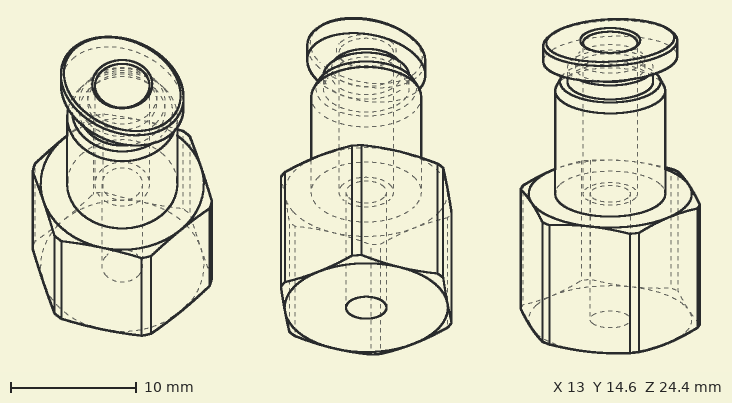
import cadquery as cq

NUT_ACROSS_FLATS = 13.0
NUT_CORNER_DIAMETER = 14.6
NUT_HEIGHT = 10.98
NUT_CHAMFER_DROP = 0.27

BODY_RADIUS = 4.4
BODY_TOP = 20.8
BODY_CHAMFER_WIDTH = 0.4
BODY_CHAMFER_HEIGHT = 0.78

COLLAR_RADIUS = 3.42
COLLAR_TOP = 22.0
NECK_RADIUS = 2.75
BUTTON_HALF_LENGTH = 5.42
BUTTON_HALF_WIDTH = 4.3
BUTTON_THICKNESS = 1.6
BUTTON_CHAMFER = 0.25
TOTAL_HEIGHT = 24.4
BUTTON_BOTTOM = TOTAL_HEIGHT - BUTTON_THICKNESS

SOCKET_RADIUS = 2.17
SOCKET_FLOOR = NUT_HEIGHT
SOCKET_CHAMFER = 0.22
PASSAGE_RADIUS = 1.6


def cylinder(radius, bottom, top):
    return cq.Workplane("XY").workplane(offset=bottom).circle(radius).extrude(top - bottom)


def make_nut():
    """Hexagon with flats facing +X and -X, its corners turned down and chamfered at both ends."""
    hexagon = (
        cq.Workplane("XY")
        .polygon(6, NUT_ACROSS_FLATS, circumscribed=True)
        .extrude(NUT_HEIGHT)
    )
    flat_radius = NUT_ACROSS_FLATS / 2
    corner_radius = NUT_CORNER_DIAMETER / 2
    turned_envelope = (
        cq.Workplane("XZ")
        .moveTo(0, 0)
        .lineTo(flat_radius, 0)
        .lineTo(corner_radius, NUT_CHAMFER_DROP)
        .lineTo(corner_radius, NUT_HEIGHT - NUT_CHAMFER_DROP)
        .lineTo(flat_radius, NUT_HEIGHT)
        .lineTo(0, NUT_HEIGHT)
        .close()
        .revolve(360, (0, 0), (0, 1))
    )
    return hexagon.intersect(turned_envelope)


def make_body():
    """Plain cylinder with a steep chamfer round its top edge."""
    shoulder = BODY_TOP - BODY_CHAMFER_HEIGHT
    return (
        cq.Workplane("XZ")
        .moveTo(0, 0)
        .lineTo(BODY_RADIUS, 0)
        .lineTo(BODY_RADIUS, shoulder)
        .lineTo(BODY_RADIUS - BODY_CHAMFER_WIDTH, BODY_TOP)
        .lineTo(0, BODY_TOP)
        .close()
        .revolve(360, (0, 0), (0, 1))
    )


def make_button():
    """Elliptical push button, longer along X, with a chamfered top edge."""
    return (
        cq.Workplane("XY")
        .workplane(offset=BUTTON_BOTTOM)
        .ellipse(BUTTON_HALF_LENGTH, BUTTON_HALF_WIDTH)
        .extrude(BUTTON_THICKNESS)
        .faces(">Z")
        .edges()
        .chamfer(BUTTON_CHAMFER)
    )


def make_bore():
    """Tube socket with a countersunk mouth, stepping down to the through passage."""
    mouth_radius = SOCKET_RADIUS + SOCKET_CHAMFER
    return (
        cq.Workplane("XZ")
        .moveTo(0, 0)
        .lineTo(PASSAGE_RADIUS, 0)
        .lineTo(PASSAGE_RADIUS, SOCKET_FLOOR)
        .lineTo(SOCKET_RADIUS, SOCKET_FLOOR)
        .lineTo(SOCKET_RADIUS, TOTAL_HEIGHT - SOCKET_CHAMFER)
        .lineTo(mouth_radius, TOTAL_HEIGHT)
        .lineTo(0, TOTAL_HEIGHT)
        .close()
        .revolve(360, (0, 0), (0, 1))
    )


collar = cylinder(COLLAR_RADIUS, NUT_HEIGHT, COLLAR_TOP)
neck = cylinder(NECK_RADIUS, NUT_HEIGHT, BUTTON_BOTTOM)

result = (
    make_nut()
    .union(make_body())
    .union(collar)
    .union(neck)
    .union(make_button())
    .cut(make_bore())
)